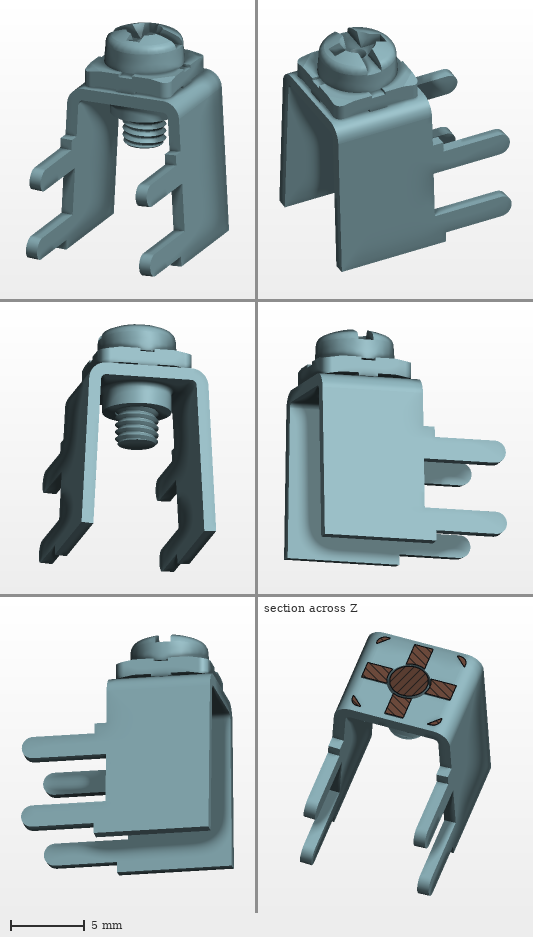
import cadquery as cq
import math

EXTRA = 0.15

bracket_depth = 7.15
bracket_half_width = 4.71
bracket_bottom = -11.5
sheet = 0.83
bend_radius = 1.2
splay = math.radians(3.0)
boss_radius = 2.35
boss_bottom = -2.32
boss_fillet = 0.3
overall_depth = 13.0
pin_width = 1.55
pin_pitch = 5.0
pin_reach = overall_depth - bracket_depth
shoulder_reach = 0.8
shoulder_height = 0.72

plate_side = 6.4
plate_top = 1.31
plate_corner_radius = 0.6
rib_height = 0.21
rib_width = 1.36
groove_depth = 0.21
groove_width = 1.0
fold_setback = 1.3
fold_slope = math.tan(math.radians(14.0))

thread_radius = 1.5
thread_pitch = 0.5
thread_top = -sheet
thread_crest = -3.21
core_radius = 1.27
ridge_base = 0.48
ridge_overlap = 0.03
shank_radius = 1.33
screw_bottom = -4.59
head_base_radius = 2.75
head_rim_radius = 2.63
head_fillet = 0.63
dome_radius = 5.43
recess_rim_height = 3.59
recess_rim_radius = 1.25
slot_floor = 2.64
slot_width = 1.07
cross_width = 1.0
cross_length = 3.92
pit_radius = 0.6
pit_depth = 0.6
plate_hole_radius = thread_radius


def cylinder(radius, bottom, top):
    return cq.Workplane("XY", origin=(0, 0, bottom)).circle(radius).extrude(top - bottom)


def box(size_x, size_y, bottom, top):
    return cq.Workplane("XY", origin=(0, 0, bottom)).rect(size_x, size_y).extrude(top - bottom)


def cone(bottom_radius, top_radius, bottom, top):
    return cq.Workplane(cq.Solid.makeCone(bottom_radius, top_radius, top - bottom, cq.Vector(0, 0, bottom)))


outer_foot_x = bracket_half_width
outer_foot_z = bracket_bottom + sheet * math.sin(splay)
inner_foot_x = outer_foot_x - sheet * math.cos(splay)


def make_channel():
    outer_top_x = outer_foot_x + outer_foot_z * math.tan(splay)
    inner_top_x = inner_foot_x + (bracket_bottom + sheet) * math.tan(splay)
    right_side = [
        (outer_top_x, 0),
        (outer_foot_x, outer_foot_z),
        (inner_foot_x, bracket_bottom),
        (inner_top_x, -sheet),
    ]
    left_side = [(-x, z) for x, z in reversed(right_side)]
    channel = (
        cq.Workplane("XZ", origin=(0, bracket_depth / 2, 0))
        .polyline(right_side + left_side).close()
        .extrude(bracket_depth)
    )
    channel = channel.faces(">Z").edges("|Y").fillet(bend_radius)
    ceiling = cq.selectors.NearestToPointSelector((0, 0, -sheet))
    return channel.faces(ceiling).edges("|Y").fillet(bend_radius - sheet)


def make_pin(base, shoulder_base):
    """A round-ended pin and its shoulder on the right leg, at heights measured up from the foot."""
    leg_plane = cq.Plane(
        origin=(outer_foot_x, -bracket_depth / 2, outer_foot_z),
        xDir=(0, -1, 0),
        normal=(-math.cos(splay), 0, -math.sin(splay)),
    )
    tip_radius = pin_width / 2
    straight = pin_reach - tip_radius
    pin = (
        cq.Workplane(leg_plane)
        .moveTo(-EXTRA, base).lineTo(straight, base)
        .threePointArc((pin_reach, base + tip_radius), (straight, base + pin_width))
        .lineTo(-EXTRA, base + pin_width).close()
        .extrude(sheet)
    )
    shoulder = (
        cq.Workplane(leg_plane)
        .moveTo(-EXTRA, shoulder_base).lineTo(shoulder_reach, shoulder_base)
        .lineTo(shoulder_reach, shoulder_base + shoulder_height)
        .lineTo(-EXTRA, shoulder_base + shoulder_height).close()
        .extrude(sheet)
    )
    return pin.union(shoulder)


def make_bracket():
    lower_base = shoulder_height
    upper_base = lower_base + pin_pitch
    lower_pin = make_pin(lower_base, 0)
    upper_pin = make_pin(upper_base, upper_base + pin_width)
    body = make_channel()
    for pin in (lower_pin, upper_pin):
        body = body.union(pin).union(pin.mirror("YZ"))
    body = body.union(cylinder(boss_radius, boss_bottom, -sheet))
    boss_root = cq.selectors.BoxSelector(
        (-boss_radius - EXTRA, -boss_radius - EXTRA, -sheet - EXTRA / 2),
        (boss_radius + EXTRA, boss_radius + EXTRA, -sheet + EXTRA / 2),
        boundingbox=True,
    )
    body = body.edges(boss_root).fillet(boss_fillet)
    return body.cut(cylinder(thread_radius, boss_bottom - EXTRA, EXTRA))


def make_bent_corner(turn):
    """One plate corner beyond its fold line, sloping down along the plate's diagonal."""
    fold_distance = (plate_side - fold_setback) / math.sqrt(2)
    tip_distance = plate_side / math.sqrt(2)
    drop = (tip_distance - fold_distance) * fold_slope
    return (
        cq.Workplane("XZ", origin=(0, plate_side / 2, 0))
        .moveTo(fold_distance, plate_top).lineTo(tip_distance, plate_top - drop)
        .lineTo(tip_distance, rib_height - drop).lineTo(fold_distance, rib_height).close()
        .extrude(plate_side)
        .rotate((0, 0, 0), (0, 0, 1), turn)
    )


def make_clamp_plate():
    plate = box(plate_side, plate_side, rib_height, plate_top).edges("|Z").chamfer(fold_setback)
    for turn in (45, 135, 225, 315):
        plate = plate.union(make_bent_corner(turn))
    outline = box(plate_side, plate_side, -EXTRA, plate_top + EXTRA).edges("|Z").fillet(plate_corner_radius)
    plate = plate.intersect(outline)
    plate = plate.union(box(plate_side, rib_width, 0, plate_top))
    plate = plate.union(box(rib_width, plate_side, 0, plate_top))
    groove_floor = plate_top - groove_depth
    plate = plate.cut(box(plate_side + EXTRA, groove_width, groove_floor, plate_top + EXTRA))
    plate = plate.cut(box(groove_width, plate_side + EXTRA, groove_floor, plate_top + EXTRA))
    return plate.cut(cylinder(plate_hole_radius, -EXTRA, plate_top + EXTRA))


def make_head():
    dome_apex = recess_rim_height + recess_rim_radius**2 / (2 * dome_radius)

    def dome_height(radius):
        return dome_apex - dome_radius + math.sqrt(dome_radius**2 - radius**2)

    middle = head_rim_radius / 2
    head = (
        cq.Workplane("XZ")
        .moveTo(0, plate_top).lineTo(head_base_radius, plate_top)
        .lineTo(head_rim_radius, dome_height(head_rim_radius))
        .threePointArc((middle, dome_height(middle)), (0, dome_apex)).close()
        .revolve(360, (0, 0, 0), (0, 1, 0))
    )
    head = head.faces("%CONE").edges(">Z").fillet(head_fillet)
    slot = box(2 * head_base_radius, slot_width, slot_floor, dome_apex)
    cross = box(cross_width, cross_length, slot_floor, dome_apex)
    slot_corner = math.hypot(slot_width, cross_width) / 2
    flare = (recess_rim_radius - slot_corner) / (recess_rim_height - slot_floor)
    recess_top_radius = slot_corner + flare * (dome_apex - slot_floor)
    recess = cone(slot_corner, recess_top_radius, slot_floor, dome_apex)
    pit = cone(0, pit_radius, slot_floor - pit_depth, slot_floor)
    return head.cut(slot).cut(cross).cut(recess).cut(pit)


def make_threaded_rod():
    """Core with a left-hand V thread, made overlong and trimmed to a chamfered tip."""
    turns_below = math.ceil((thread_crest - screw_bottom) / thread_pitch) + 1
    start = thread_crest - turns_below * thread_pitch
    end = thread_top + thread_pitch
    root = core_radius - ridge_overlap
    half_base = ridge_base / 2
    helix = cq.Wire.makeHelix(thread_pitch, end - start, core_radius, cq.Vector(0, 0, start), lefthand=True)
    ridge = (
        cq.Workplane("XZ")
        .moveTo(root, start - half_base).lineTo(thread_radius, start)
        .lineTo(root, start + half_base).close()
        .sweep(cq.Workplane(helix), isFrenet=True)
    )
    rod = cylinder(core_radius, start - thread_pitch, end + thread_pitch).union(ridge)
    length = thread_top - screw_bottom
    envelope = cone(core_radius, core_radius + length, screw_bottom, thread_top)
    return rod.intersect(envelope)


def make_screw():
    shank = cylinder(shank_radius, thread_top, plate_top)
    return make_head().union(shank).union(make_threaded_rod())


bracket = make_bracket()
clamp_plate = make_clamp_plate()
screw = make_screw()
result = cq.Compound.makeCompound([bracket.val(), clamp_plate.val(), screw.val()])